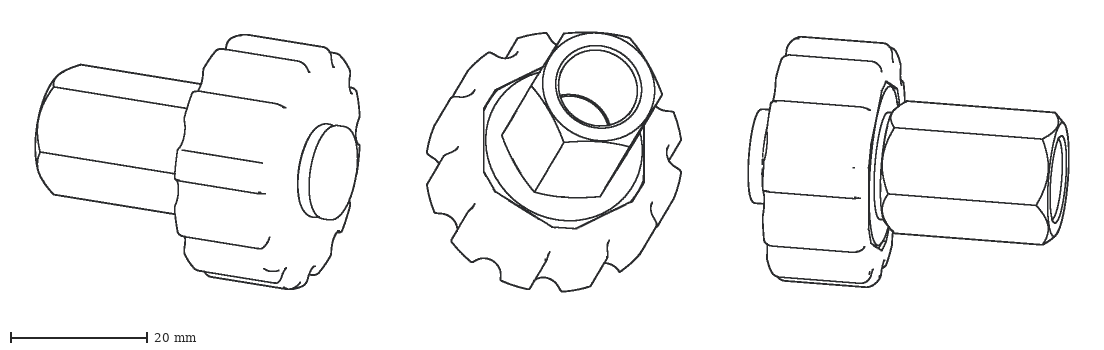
import cadquery as cq
import math


sleeve_length = 25.0
sleeve_flats = 17.0
sleeve_face_radius = 8.4
bore_diameter = 11.8
bore_mouth_diameter = 12.85
bore_depth = 19.85
bore_floor_diameter = 11.0

collar_diameter = 15.8

knob_start = 26.02
knob_length = 15.0
knob_end = knob_start + knob_length
knob_radius = 18.0
knob_rim_fillet = 1.5
groove_count = 12
groove_radius = 2.35
groove_floor_radius = 15.42
groove_centre_radius = groove_floor_radius + groove_radius
groove_edge_fillet = 0.25

flare_radius = 2.0
flared_groove_angles = (210, 240)

pocket_flats = 24.0
pocket_corner_flats = 25.7
nut_face_radius = 11.73
nut_corner_radius = 12.8
nut_chamfer_angle = 30

total_length = 45.1
plug_diameter = 13.9
ring_section_radius = 1.0
flange_length = 2.0
flange_inner_fillet = 0.6
flange_outer_fillet = 0.4


def cylinder(start, end, radius):
    return cq.Workplane("YZ", origin=(start, 0, 0)).circle(radius).extrude(end - start)


def turned(profile):
    """Solid turned about the X axis from (x, radius) points."""
    return cq.Workplane("XY").polyline(profile).close().revolve(360, (0, 0, 0), (1, 0, 0))


def hexagon(start, end, flats, corner_angle):
    """Hexagonal bar along X, with one corner turned by corner_angle from the Y axis."""
    corner_diameter = flats / math.cos(math.pi / 6)
    bar = cq.Workplane("YZ", origin=(start, 0, 0)).polygon(6, corner_diameter).extrude(end - start)
    return bar.rotate((0, 0, 0), (1, 0, 0), corner_angle)


def make_sleeve():
    """Hexagon whose corners are cut by a 45 degree cone at both ends."""
    corner_radius = sleeve_flats / 2 / math.cos(math.pi / 6)
    end_cones = cylinder(0, sleeve_length, corner_radius).faces("<X or >X")
    end_cones = end_cones.chamfer(corner_radius - sleeve_face_radius)
    return hexagon(0, sleeve_length, sleeve_flats, 0).intersect(end_cones)


def make_bore():
    """Blind bore with a chamfered mouth and a floor that rises inside a small chamfer."""
    mouth_chamfer = (bore_mouth_diameter - bore_diameter) / 2
    floor_chamfer = (bore_diameter - bore_floor_diameter) / 2
    profile = [
        (0, 0),
        (0, bore_mouth_diameter / 2),
        (mouth_chamfer, bore_diameter / 2),
        (bore_depth + floor_chamfer, bore_diameter / 2),
        (bore_depth, bore_floor_diameter / 2),
        (bore_depth, 0),
    ]
    return turned(profile)


def make_groove_flare(angle):
    """Trumpet mouth that widens one groove towards the plug end of the knob."""
    flare_start = knob_end - flare_radius
    mouth_radius = groove_radius + flare_radius
    arc_offset = flare_radius * math.cos(math.pi / 4)
    arc_middle = (flare_start + arc_offset, mouth_radius - arc_offset)
    trumpet = (
        cq.Workplane("XY")
        .moveTo(flare_start, 0)
        .lineTo(flare_start, groove_radius)
        .threePointArc(arc_middle, (knob_end, mouth_radius))
        .lineTo(knob_end, 0)
        .close()
        .revolve(360, (0, 0, 0), (1, 0, 0))
    )
    return trumpet.translate((0, groove_centre_radius, 0)).rotate((0, 0, 0), (1, 0, 0), angle)


def make_knob():
    knob = cylinder(knob_start, knob_end, knob_radius)
    knob = knob.faces("<X or >X").edges().fillet(knob_rim_fillet)
    grooves = (
        cq.Workplane("YZ", origin=(knob_start, 0, 0))
        .polarArray(groove_centre_radius, 0, 360, groove_count)
        .circle(groove_radius)
        .extrude(knob_length)
    )
    knob = knob.cut(grooves)
    groove_faces = []
    for face in knob.faces("%CYLINDER").vals():
        center = face.Center()
        if math.hypot(center.y, center.z) < groove_centre_radius:
            groove_faces.append(face)
    knob = knob.newObject(groove_faces).edges().fillet(groove_edge_fillet)
    for angle in flared_groove_angles:
        knob = knob.cut(make_groove_flare(angle))
    return knob


def make_pocket_gap():
    """Space left between the hexagonal pocket and the chamfer of the nut in it."""
    depth = (nut_corner_radius - nut_face_radius) * math.tan(math.radians(nut_chamfer_angle))
    bottom = knob_start + depth
    pocket = hexagon(knob_start, bottom, pocket_flats, 30)
    pocket = pocket.intersect(hexagon(knob_start, bottom, pocket_corner_flats, 0))
    nut_profile = [
        (knob_start, 0),
        (knob_start, nut_face_radius),
        (bottom, nut_corner_radius),
        (bottom, 0),
    ]
    nut = turned(nut_profile)
    return pocket.cut(nut)


def make_plug():
    """Seal ring that stands half proud of its seat, followed by a rounded flange."""
    plug_radius = plug_diameter / 2
    seat_radius = plug_radius - ring_section_radius
    flange_start = total_length - flange_length
    ring_start = flange_start - 2 * ring_section_radius
    ring = (
        cq.Workplane("XY")
        .moveTo(knob_end, 0)
        .lineTo(knob_end, seat_radius)
        .lineTo(ring_start, seat_radius)
        .threePointArc((ring_start + ring_section_radius, plug_radius), (flange_start, seat_radius))
        .lineTo(flange_start, 0)
        .close()
        .revolve(360, (0, 0, 0), (1, 0, 0))
    )
    flange = cylinder(flange_start, total_length, plug_radius)
    flange = flange.faces("<X").edges().fillet(flange_inner_fillet)
    flange = flange.faces(">X").edges().fillet(flange_outer_fillet)
    return ring.union(flange)


collar = cylinder(sleeve_length, knob_start, collar_diameter / 2)
knob = make_knob().cut(make_pocket_gap())
result = make_sleeve().union(collar).union(knob).union(make_plug()).cut(make_bore())